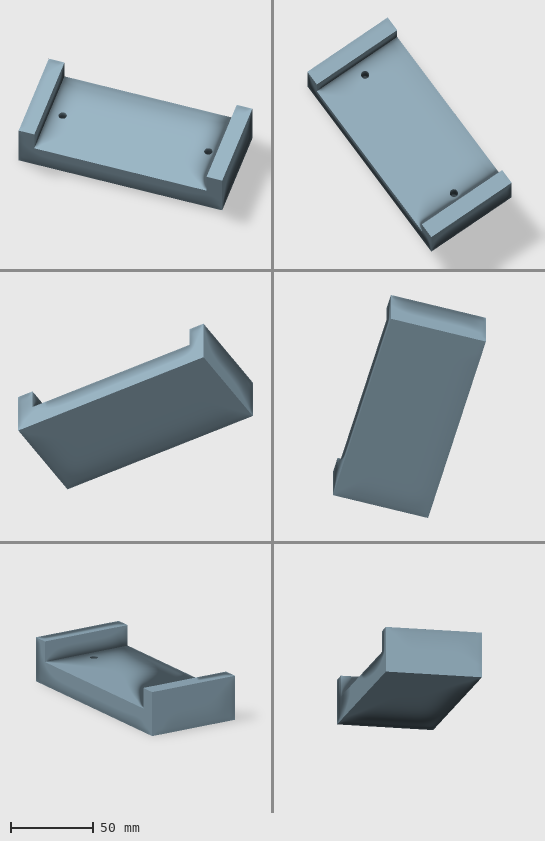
import cadquery as cq
import math

length = 130.0
width = 60.0
height = 28.1

wall_thickness = 10.0
floor_thickness = 15.0

hole_diameter = 5.0
hole_spacing = 93.0
hole_depth = 10.0
drill_point_angle = 118.0


def cradle():
    """Block with end walls, standing on Z = 0 and centred in X and Y."""
    block = cq.Workplane("XY").box(length, width, height, centered=(True, True, False))
    channel = (
        cq.Workplane("XY")
        .workplane(offset=floor_thickness)
        .box(length - 2 * wall_thickness, width, height, centered=(True, True, False))
    )
    return block.cut(channel)


def drilled_hole(x):
    """Drill-shaped cutter: a cylinder ending in a conical point."""
    radius = hole_diameter / 2
    point_depth = radius / math.tan(math.radians(drill_point_angle / 2))
    shoulder_z = floor_thickness - hole_depth
    return (
        cq.Workplane("XZ")
        .moveTo(0, floor_thickness)
        .lineTo(radius, floor_thickness)
        .lineTo(radius, shoulder_z)
        .lineTo(0, shoulder_z - point_depth)
        .close()
        .revolve(360, (0, 0, 0), (0, 1, 0))
        .translate((x, 0, 0))
    )


result = cradle()
for side in (-1, 1):
    result = result.cut(drilled_hole(side * hole_spacing / 2))